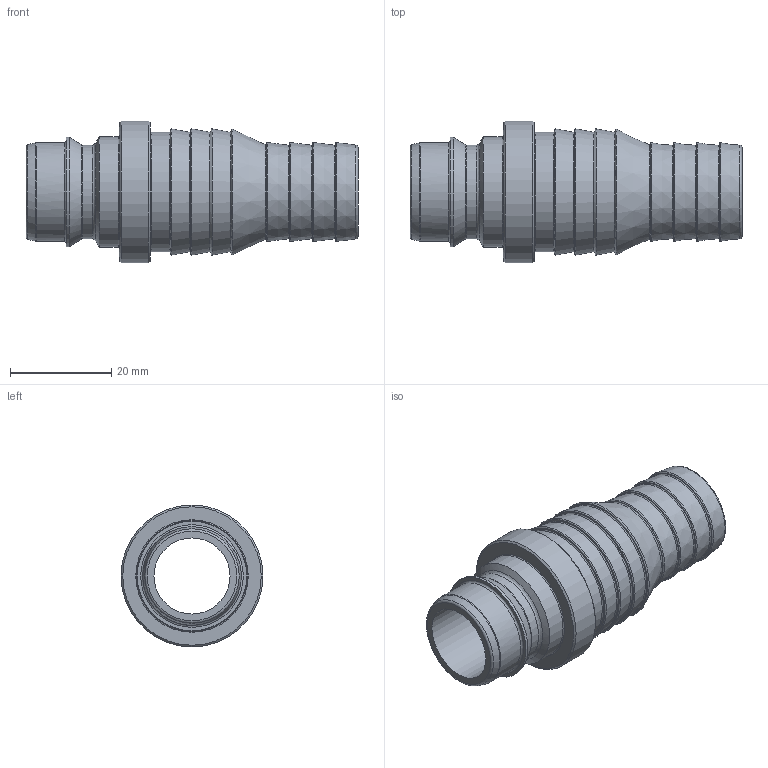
import cadquery as cq
import math

overall_length = 65.5
bore_radius = 15.0 / 2

nose_radius = 19.45 / 2
nose_taper_end = 1.9
nose_taper_angle = 15.0
nose_tip_radius = nose_radius - nose_taper_end * math.tan(math.radians(nose_taper_angle))
nose_edge_round = 0.5
nose_blend_round = 0.75

lip_radius = 21.6 / 2
lip_start = 7.95
lip_width = 0.55
lip_root_round = 0.4

groove_radius = 18.5 / 2
groove_start = 11.0
groove_cone_start = 13.5
groove_cone_angle = 60.0
groove_root_round = 0.8
groove_entry_round = 0.4

shoulder_radius = 21.8 / 2
flange_radius = 28.0 / 2
flange_start = 18.4
flange_end = 24.5
flange_chamfer = 0.35
flange_root_round = 0.2

large_root_radius = 23.5 / 2
large_crest_radius = 25.0 / 2
large_barb_start = 28.5
large_barb_pitch = 4.0
large_barb_count = 4
large_barb_root_round = 0.2
large_barb_crest_round = 0.2

small_root_radius = 18.4 / 2
small_crest_radius = 19.55 / 2
small_barb_start = 47.45
small_barb_pitch = 4.55
small_barb_count = 4
small_barb_root_round = 0.2
small_barb_crest_round = 0.2

tail_edge_round = 0.5

match_tolerance = 0.001


def plug_points():
    """Outline of the nose and the retaining lip, from the front bore edge to the groove."""
    return [
        (0, bore_radius),
        (0, nose_tip_radius),
        (nose_taper_end, nose_radius),
        (lip_start, nose_radius),
        (lip_start, lip_radius),
        (lip_start + lip_width, lip_radius),
        (groove_start, groove_radius),
    ]


def shoulder_points():
    """Outline from the cone leaving the groove to the plain neck behind the flange."""
    cone_length = (shoulder_radius - groove_radius) / math.tan(math.radians(groove_cone_angle))
    return [
        (groove_cone_start, groove_radius),
        (groove_cone_start + cone_length, shoulder_radius),
        (flange_start, shoulder_radius),
        (flange_start, flange_radius - flange_chamfer),
        (flange_start + flange_chamfer, flange_radius),
        (flange_end - flange_chamfer, flange_radius),
        (flange_end, flange_radius - flange_chamfer),
        (flange_end, large_root_radius),
    ]


def barb_points(start, pitch, count, root_radius, crest_radius):
    """Root and crest of the square back of each barb; the taper after it leads to the next point."""
    points = []
    for index in range(count):
        back_x = start + index * pitch
        points.append((back_x, root_radius))
        points.append((back_x, crest_radius))
    return points


def tail_points():
    """Hose end, from its outer edge to the bore."""
    return [
        (overall_length, small_root_radius),
        (overall_length, bore_radius),
    ]


def round_circle_edge(body, x, radius, round_radius):
    """Fillet the circular edge of the given radius at position x."""
    circles = [
        edge
        for edge in body.edges("%CIRCLE").vals()
        if abs(edge.Center().x - x) < match_tolerance and abs(edge.radius() - radius) < match_tolerance
    ]
    return body.newObject(circles).fillet(round_radius)


large_barbs = barb_points(
    large_barb_start, large_barb_pitch, large_barb_count, large_root_radius, large_crest_radius
)
small_barbs = barb_points(
    small_barb_start, small_barb_pitch, small_barb_count, small_root_radius, small_crest_radius
)
outline = plug_points() + shoulder_points() + large_barbs + small_barbs + tail_points()
result = cq.Workplane("XZ").polyline(outline).close().revolve(360, (0, 0, 0), (1, 0, 0))

rounded_edges = [
    (0, nose_tip_radius, nose_edge_round),
    (nose_taper_end, nose_radius, nose_blend_round),
    (lip_start, nose_radius, lip_root_round),
    (groove_start, groove_radius, groove_entry_round),
    (groove_cone_start, groove_radius, groove_root_round),
    (flange_start, shoulder_radius, flange_root_round),
    (flange_end, large_root_radius, flange_root_round),
    (overall_length, small_root_radius, tail_edge_round),
]
for barb_x, _ in large_barbs[::2]:
    rounded_edges.append((barb_x, large_root_radius, large_barb_root_round))
    rounded_edges.append((barb_x, large_crest_radius, large_barb_crest_round))
for barb_x, _ in small_barbs[::2]:
    rounded_edges.append((barb_x, small_root_radius, small_barb_root_round))
    rounded_edges.append((barb_x, small_crest_radius, small_barb_crest_round))

for edge_x, edge_radius, round_radius in rounded_edges:
    result = round_circle_edge(result, edge_x, edge_radius, round_radius)